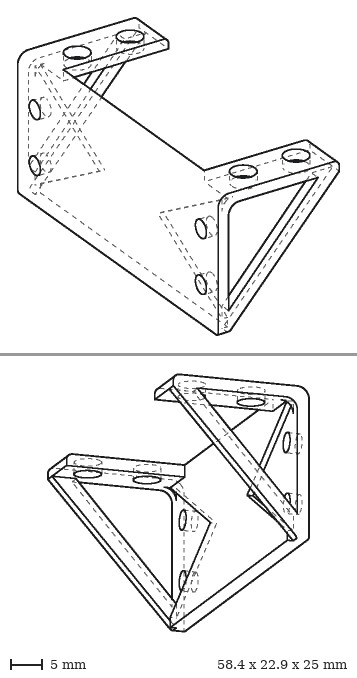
import cadquery as cq

length = 58.35
depth = 22.9
height = 25.0

sheet = 2.0
plate_thickness = 3.0
strap_width = 8.7
window_back = 18.85
window_bottom = 4.0

bend_outer_radius = 2.05
bend_inner_radius = 2.0
tip_radius = 1.05
corner_radius = 0.5

hole_pitch = 10.0
hole_inset = 5.0
plate_hole_diameter = 3.2
plate_hole_bottom = 7.0
strap_hole_diameter = 4.4
strap_hole_front = 8.0

recess_run = 18.7
recess_bottom = 1.7

strap_underside = height - sheet
end_centers = (hole_inset, length - hole_inset)


def extrude_along_x(profile, start, width):
    """Extrude a closed YZ profile along +X from the given start."""
    return profile.extrude(width).translate((start, 0, 0))


def make_bracket():
    """Flat-backed plate with a strap bent backwards along its top."""
    skin = cq.Workplane("XY").box(length, sheet, height, centered=False)
    backing = (
        cq.Workplane("XY")
        .box(length - 2 * sheet, plate_thickness, height, centered=False)
        .translate((sheet, 0, 0))
    )
    body = skin.union(backing)
    for start in (0, length - strap_width):
        strap = (
            cq.Workplane("XY")
            .box(strap_width, depth, sheet, centered=False)
            .edges("|X and >Y and >Z")
            .fillet(tip_radius)
            .translate((start, 0, strap_underside))
        )
        body = body.union(strap)
    return body


def make_envelope():
    """Block around the whole bracket with its bottom corners rounded."""
    block = cq.Workplane("XY").box(length, depth, height, centered=False)
    return block.edges("|Y and <Z").fillet(corner_radius)


def make_side_frame(start):
    """Solid triangle below a strap, closing one end of the bracket."""
    profile = (
        cq.Workplane("YZ")
        .moveTo(0, 0)
        .lineTo(0, strap_underside)
        .lineTo(depth, strap_underside)
        .lineTo(sheet, 0)
        .close()
    )
    return extrude_along_x(profile, start, sheet)


def make_window(start):
    """Triangular opening that leaves a sloping strut."""
    profile = (
        cq.Workplane("YZ")
        .moveTo(sheet, window_bottom)
        .lineTo(sheet, strap_underside - bend_inner_radius)
        .radiusArc((sheet + bend_inner_radius, strap_underside), bend_inner_radius)
        .lineTo(window_back, strap_underside)
        .close()
    )
    return extrude_along_x(profile, start, sheet)


def make_recess(frame_face, direction):
    """V-shaped recess in the back of the plate, opening towards a side frame."""
    middle = (recess_bottom + strap_underside) / 2
    return (
        cq.Workplane("XZ", origin=(0, plate_thickness, 0))
        .moveTo(frame_face, recess_bottom)
        .lineTo(frame_face + direction * recess_run, middle)
        .lineTo(frame_face, strap_underside)
        .close()
        .extrude(plate_thickness - sheet)
    )


def make_holes():
    """Screw holes through the plate and through both straps."""
    plate_points = [(x, plate_hole_bottom + i * hole_pitch) for x in end_centers for i in range(2)]
    strap_points = [(x, strap_hole_front + i * hole_pitch) for x in end_centers for i in range(2)]
    plate_holes = (
        cq.Workplane("XZ")
        .pushPoints(plate_points)
        .circle(plate_hole_diameter / 2)
        .extrude(-plate_thickness)
    )
    strap_holes = (
        cq.Workplane("XY", origin=(0, 0, strap_underside))
        .pushPoints(strap_points)
        .circle(strap_hole_diameter / 2)
        .extrude(sheet)
    )
    return plate_holes.union(strap_holes)


frame_starts = (0, length - sheet)
result = make_bracket()
for frame_start in frame_starts:
    result = result.union(make_side_frame(frame_start))
for frame_start in frame_starts:
    result = result.cut(make_window(frame_start))
result = result.cut(make_recess(sheet, 1)).cut(make_recess(length - sheet, -1))
result = result.edges("|X and <Y and >Z").fillet(bend_outer_radius)
result = result.cut(make_holes()).intersect(make_envelope())